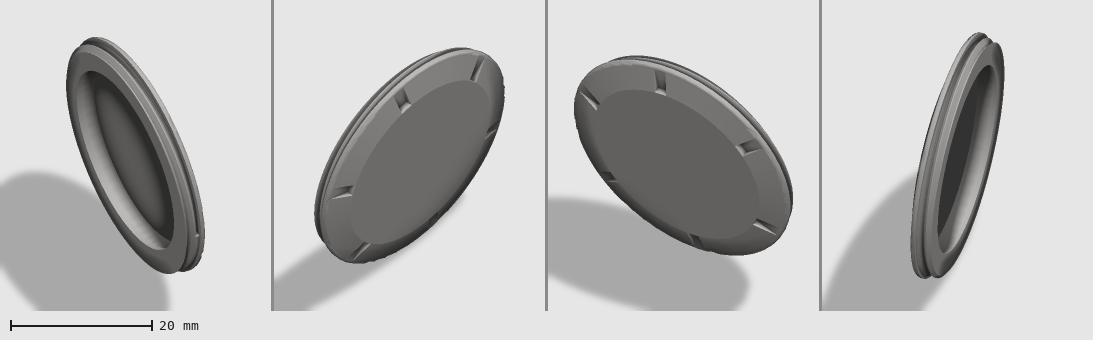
import cadquery as cq
import math

flange_radius = 17.92
height = 3.8

thread_length = 2.05
flange_edge_height = 2.35
taper_base_height = 2.85
taper_base_radius = 17.5
taper_top_radius = 13.8

pocket_radius = 27.5 / 2
pocket_depth = 2.87

crest_radius = 34.85 / 2
root_radius = 16.6
pitch = 1.5
flat_width = 0.15
turns = 3
groove_start = -2.45
groove_overshoot = 0.05

slot_count = 6
slot_width = 1.95
slot_floor = taper_base_height
first_slot_angle = 78.8


def make_flange():
    """Revolve the flange with its rounded edge and the tapered back."""
    edge_mid_radius = taper_base_radius + (flange_radius - taper_base_radius) * math.sin(math.pi / 4)
    edge_rise = taper_base_height - flange_edge_height
    edge_mid_height = flange_edge_height + edge_rise * math.sin(math.pi / 4)
    return (
        cq.Workplane("XZ")
        .moveTo(0, thread_length)
        .lineTo(flange_radius, thread_length)
        .lineTo(flange_radius, flange_edge_height)
        .threePointArc((edge_mid_radius, edge_mid_height), (taper_base_radius, taper_base_height))
        .lineTo(taper_top_radius, height)
        .lineTo(0, height)
        .close()
        .revolve(360, (0, 0, 0), (0, 1, 0))
    )


def make_threaded_core():
    """Cut a helical V groove into a plain cylinder of the crest radius."""
    half_root = flat_width / 2
    half_mouth = (pitch - flat_width) / 2
    outer_radius = crest_radius + groove_overshoot
    flank_slope = (half_mouth - half_root) / (crest_radius - root_radius)
    half_outer = half_mouth + flank_slope * groove_overshoot
    path = cq.Wire.makeHelix(pitch, pitch * turns, root_radius, cq.Vector(0, 0, groove_start))
    groove = (
        cq.Workplane("XZ")
        .polyline([
            (root_radius, groove_start - half_root),
            (outer_radius, groove_start - half_outer),
            (outer_radius, groove_start + half_outer),
            (root_radius, groove_start + half_root),
        ])
        .close()
        .sweep(cq.Workplane(path), isFrenet=True)
    )
    return cq.Workplane("XY").circle(crest_radius).extrude(thread_length).cut(groove)


def make_slot(angle):
    """Cutter from the edge of the flat back outwards, at the given angle."""
    return (
        cq.Workplane("XY")
        .box(flange_radius, slot_width, height, centered=(False, True, False))
        .translate((taper_top_radius, 0, slot_floor))
        .rotate((0, 0, 0), (0, 0, 1), angle)
    )


cap = make_flange().union(make_threaded_core())
cap = cap.cut(cq.Workplane("XY").circle(pocket_radius).extrude(pocket_depth))
for index in range(slot_count):
    cap = cap.cut(make_slot(-first_slot_angle + index * 360 / slot_count))

result = cap.rotate((0, 0, 0), (1, 0, 0), -90)